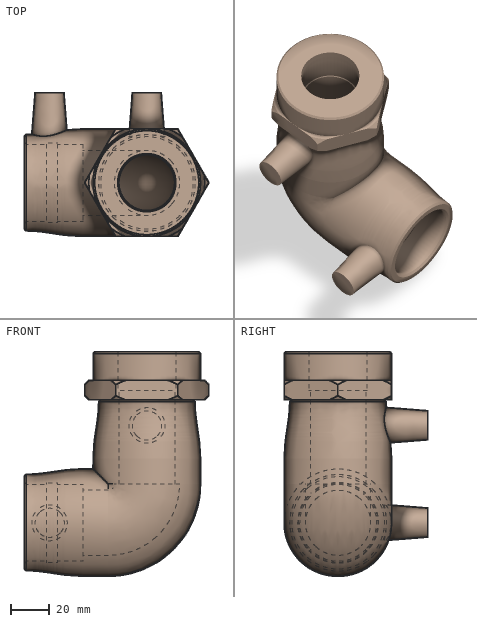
import cadquery as cq
import math

body_diameter = 56.0
body_radius = body_diameter / 2
mouth_radius = 25.2
mouth_chamfer = 1.0
leg_length = 63.9
taper_start = 33.5
bend_radius = 20.1
bend_bore_radius = 17.0

socket_radius = 40.0 / 2
socket_depth = leg_length - taper_start
recess_radius = socket_radius + 0.7
recess_depth = 11.5
recess_width = 5.8

total_height = 117.0
collar_top = total_height - body_radius
collar_chamfer = 0.9
hex_across_flats = body_diameter
hex_height = 10.2
hex_chamfer = 2.2
adapter_bore_radius = 30.3 / 2
pipe_bore_radius = 29.0 / 2
adapter_bore_depth = 20.1

terminal_offset = 50.7
terminal_tip = 46.9
terminal_root = 21.6
terminal_tip_radius = 7.6
terminal_root_radius = 9.6


def leg():
    """Solid leg along +Z, from the end of the bend to its mouth."""
    shoulder = leg_length - mouth_chamfer
    profile = (
        cq.Workplane("XZ")
        .moveTo(0, bend_radius)
        .lineTo(body_radius, bend_radius)
        .lineTo(body_radius, taper_start)
        .spline([(mouth_radius, shoulder)], tangents=[(0, 1), (0, 1)], includeCurrent=True)
        .lineTo(mouth_radius - mouth_chamfer, leg_length)
        .lineTo(0, leg_length)
        .close()
    )
    return profile.revolve(360, (0, 0, 0), (0, 1, 0))


def toward_minus_x(upright):
    """Turn a shape built along +Z so that it lies along -X."""
    return upright.rotate((0, 0, 0), (0, 1, 0), -90)


def quarter_turn(profile):
    """Sweep a profile at the top of the bend down around the bend axis to the -X leg."""
    return profile.revolve(90, (-bend_radius, 0, 0), (-bend_radius, 1, 0))


def solid_bend():
    """Quarter bend; the tube is wider than the bend, so its section stops at the bend axis."""
    half_chord = math.sqrt(body_radius**2 - bend_radius**2)
    profile = (
        cq.Workplane("XY", origin=(0, 0, bend_radius))
        .moveTo(-bend_radius, -half_chord)
        .threePointArc((body_radius, 0), (-bend_radius, half_chord))
        .close()
    )
    return cq.Workplane(quarter_turn(profile).val().toNURBS())


def bend_bore():
    return quarter_turn(cq.Workplane("XY", origin=(0, 0, bend_radius)).circle(bend_bore_radius))


def bore(radius, bottom, top):
    """Round cutter along the Z axis."""
    return cq.Workplane("XY", origin=(0, 0, bottom)).circle(radius).extrude(top - bottom)


def hexagon():
    """Hexagon with its corners along X, turned down to a cone at both faces."""
    corner_radius = hex_across_flats / math.sqrt(3)
    prism = (
        cq.Workplane("XY", origin=(0, 0, leg_length))
        .polygon(6, 2 * corner_radius)
        .extrude(hex_height)
    )
    turned_blank = (
        cq.Workplane("XY", origin=(0, 0, leg_length))
        .circle(corner_radius)
        .extrude(hex_height)
        .edges()
        .chamfer(hex_chamfer)
    )
    return prism.intersect(turned_blank)


def collar():
    bottom = leg_length + hex_height
    return (
        cq.Workplane("XY", origin=(0, 0, bottom))
        .circle(body_radius)
        .extrude(collar_top - bottom)
        .faces(">Z")
        .edges()
        .chamfer(collar_chamfer)
    )


def terminal(x, z):
    cone = cq.Solid.makeCone(
        terminal_root_radius,
        terminal_tip_radius,
        terminal_tip - terminal_root,
        pnt=cq.Vector(x, terminal_root, z),
        dir=cq.Vector(0, 1, 0),
    )
    return cq.Workplane(cone)


def socket():
    """Opening of the -X leg with a chamfered lip and a shallow ring recess, built along +Z."""
    floor = leg_length - socket_depth
    lip = cq.Workplane(
        cq.Solid.makeCone(
            socket_radius,
            socket_radius + mouth_chamfer,
            mouth_chamfer,
            pnt=cq.Vector(0, 0, leg_length - mouth_chamfer),
        )
    )
    recess_top = leg_length - recess_depth
    recess = bore(recess_radius, recess_top - recess_width, recess_top)
    opening = bore(socket_radius, floor, leg_length)
    return opening.union(lip).union(recess).union(bore(bend_bore_radius, bend_radius, floor))


body = solid_bend().union(leg()).union(toward_minus_x(leg()))
body = body.union(hexagon()).union(collar())
body = body.union(terminal(-terminal_offset, 0)).union(terminal(0, terminal_offset))

adapter_bore_floor = collar_top - adapter_bore_depth
body = body.cut(bend_bore())
body = body.cut(toward_minus_x(socket()))
body = body.cut(bore(pipe_bore_radius, bend_radius, adapter_bore_floor))
body = body.cut(bore(adapter_bore_radius, adapter_bore_floor, collar_top))

result = body